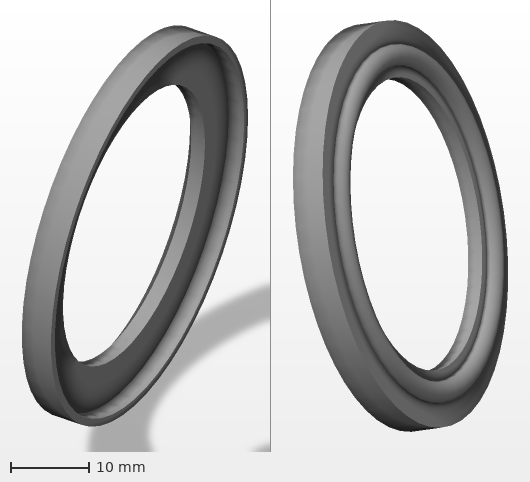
import cadquery as cq

outer_diameter = 52.5
bore_diameter = 37.8
overall_thickness = 5.8
bead_height = 1.5
ring_thickness = overall_thickness - bead_height

web_thickness = 2.0
rim_width = 1.05
recess_diameter = outer_diameter - 2 * rim_width

bead_outer_diameter = 46.3
bead_width = 2.85
crown_radius = bead_width / 2
bead_outer_radius = bead_outer_diameter / 2
bead_inner_radius = bead_outer_radius - bead_width
bead_middle_radius = bead_outer_radius - crown_radius
crown_start = crown_radius - bead_height


def make_ring():
    """Flat ring with its -X face at X = 0."""
    return (
        cq.Workplane("YZ")
        .circle(outer_diameter / 2)
        .circle(bore_diameter / 2)
        .extrude(ring_thickness)
    )


def make_recess():
    """Disc that hollows the ring from the web out to the +X face."""
    return (
        cq.Workplane("YZ", origin=(web_thickness, 0, 0))
        .circle(recess_diameter / 2)
        .extrude(ring_thickness - web_thickness)
    )


def make_bead():
    """Bead profile in the XY plane, revolved around the X axis."""
    root = web_thickness / 2
    return (
        cq.Workplane("XY")
        .moveTo(root, bead_inner_radius)
        .lineTo(crown_start, bead_inner_radius)
        .threePointArc((-bead_height, bead_middle_radius), (crown_start, bead_outer_radius))
        .lineTo(root, bead_outer_radius)
        .close()
        .revolve(360, (0, 0, 0), (1, 0, 0))
    )


result = make_ring().cut(make_recess()).union(make_bead())